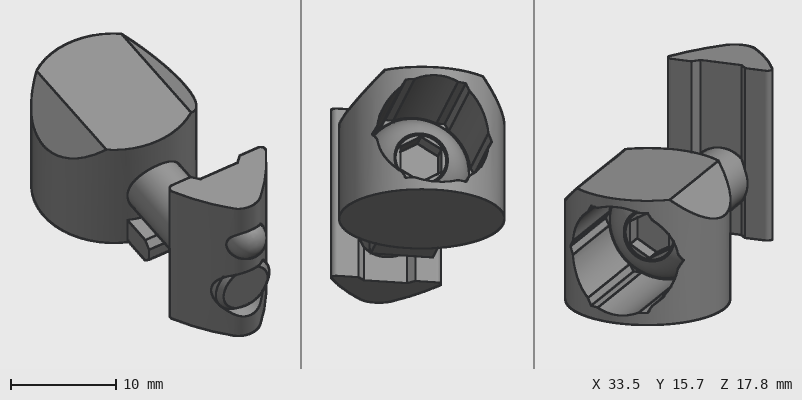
import cadquery as cq
import math

HOUSING_RADIUS = 7.855
HOUSING_HEIGHT = 12.45
ROOF_FLAT_HALF_WIDTH = 4.74
ROOF_DROP = HOUSING_RADIUS - ROOF_FLAT_HALF_WIDTH
AXIS_HEIGHT = HOUSING_HEIGHT / 2

BORE_RADIUS = 5.41
BORE_HEX_FLATS = 9.98

TAB_END_X = 11.15
TAB_WIDTH = 6.0
TAB_BOTTOM = 0.25
TAB_HEIGHT = 2.75
TAB_CHAMFER = 0.7

SHANK_RADIUS = 2.997
BOLT_TIP_X = 23.65
SHANK_LENGTH = 20.0
TIP_CHAMFER = 0.55
HEAD_RADIUS = 5.2
HEAD_HEIGHT = 3.3
HEAD_RIM = 0.3
SOCKET_FLATS = 4.0
SOCKET_DEPTH = 2
MOUTH_RADIUS = 2.58
MOUTH_FLOOR_RADIUS = 2.45
MOUTH_DEPTH = 0.15
SEAT_X = BOLT_TIP_X - SHANK_LENGTH
HEAD_TOP_X = SEAT_X - HEAD_HEIGHT

CLAMP_BACK_X = 18.15
CLAMP_BOTTOM = 0.75
CLAMP_HEIGHT = 17.0
CLAMP_DEPTH = 6.35
CLAMP_HALF_WIDTH = 5.63
CORNER_RADIUS = 0.5
FLANK_MID_DEPTH = 3.48
FLANK_MID_HALF_WIDTH = 3.48
NOSE_START_DEPTH = 5.8
NOSE_HALF_WIDTH = 1.47
GROOVE_HALF_WIDTH = 2.75
GROOVE_FLOOR_HALF_WIDTH = 2.08
GROOVE_DEPTH = 0.7

BALL_RADIUS = 2.0
BALL_X = 23.627
BALL_Z = 12.75


def bolt_axis_plane(x):
    """Plane across the bolt axis: local x is +Y, local y is +Z, normal is +X."""
    return cq.Workplane("YZ", origin=(x, 0, AXIS_HEIGHT))


def hex_diameter(across_flats):
    return across_flats / math.cos(math.pi / 6)


def make_ball():
    return cq.Workplane("XY").sphere(BALL_RADIUS).translate((BALL_X, 0, BALL_Z))


def make_housing():
    slope_height = HOUSING_HEIGHT - ROOF_DROP
    roof_outline = [
        (-HOUSING_RADIUS, 0),
        (HOUSING_RADIUS, 0),
        (HOUSING_RADIUS, slope_height),
        (ROOF_FLAT_HALF_WIDTH, HOUSING_HEIGHT),
        (-ROOF_FLAT_HALF_WIDTH, HOUSING_HEIGHT),
        (-HOUSING_RADIUS, slope_height),
    ]
    roof = cq.Workplane("YZ").polyline(roof_outline).close().extrude(HOUSING_RADIUS, both=True)
    body = cq.Workplane("XY").circle(HOUSING_RADIUS).extrude(HOUSING_HEIGHT).intersect(roof)

    tab = (
        cq.Workplane("XY", origin=(SEAT_X, 0, TAB_BOTTOM))
        .box(TAB_END_X - SEAT_X, TAB_WIDTH, TAB_HEIGHT, centered=(False, True, False))
        .faces(">X")
        .edges("|Y")
        .chamfer(TAB_CHAMFER)
    )

    bore_length = SEAT_X + HOUSING_RADIUS
    round_bore = bolt_axis_plane(-HOUSING_RADIUS).circle(BORE_RADIUS).extrude(bore_length)
    hex_bore = (
        bolt_axis_plane(-HOUSING_RADIUS)
        .polygon(6, hex_diameter(BORE_HEX_FLATS))
        .extrude(bore_length)
    )
    shank_hole = bolt_axis_plane(0).circle(SHANK_RADIUS).extrude(HOUSING_RADIUS)
    return body.union(tab).cut(round_bore).cut(hex_bore).cut(shank_hole)


def make_bolt():
    shank = (
        bolt_axis_plane(SEAT_X)
        .circle(SHANK_RADIUS)
        .extrude(SHANK_LENGTH)
        .faces(">X")
        .chamfer(TIP_CHAMFER)
    )

    rim_x = SEAT_X - HEAD_RIM
    dome_height = HEAD_HEIGHT - HEAD_RIM
    dome_offset = (HEAD_RADIUS**2 - MOUTH_RADIUS**2 - dome_height**2) / (2 * dome_height)
    dome_radius = math.hypot(HEAD_RADIUS, dome_offset)
    mid_angle = (
        math.atan2(HEAD_RADIUS, dome_offset) + math.atan2(MOUTH_RADIUS, dome_offset + dome_height)
    ) / 2
    dome_mid = (
        rim_x + dome_offset - dome_radius * math.cos(mid_angle),
        dome_radius * math.sin(mid_angle),
    )
    head = (
        cq.Workplane("XZ", origin=(0, 0, AXIS_HEIGHT))
        .moveTo(SEAT_X, 0)
        .lineTo(SEAT_X, HEAD_RADIUS)
        .lineTo(rim_x, HEAD_RADIUS)
        .threePointArc(dome_mid, (HEAD_TOP_X, MOUTH_RADIUS))
        .lineTo(HEAD_TOP_X + MOUTH_DEPTH, MOUTH_FLOOR_RADIUS)
        .lineTo(HEAD_TOP_X + MOUTH_DEPTH, 0)
        .close()
        .revolve(360, (0, 0, 0), (1, 0, 0))
    )
    socket = (
        bolt_axis_plane(HEAD_TOP_X)
        .transformed(rotate=(0, 0, 90))
        .polygon(6, hex_diameter(SOCKET_FLATS))
        .extrude(SOCKET_DEPTH)
    )
    return shank.union(head).cut(socket)


def make_clamp_nut():
    bar = (
        cq.Workplane("XY", origin=(CLAMP_BACK_X, 0, CLAMP_BOTTOM))
        .moveTo(0, -CLAMP_HALF_WIDTH)
        .threePointArc((FLANK_MID_DEPTH, -FLANK_MID_HALF_WIDTH), (NOSE_START_DEPTH, -NOSE_HALF_WIDTH))
        .threePointArc((CLAMP_DEPTH, 0), (NOSE_START_DEPTH, NOSE_HALF_WIDTH))
        .threePointArc((FLANK_MID_DEPTH, FLANK_MID_HALF_WIDTH), (0, CLAMP_HALF_WIDTH))
        .close()
        .extrude(CLAMP_HEIGHT)
        .edges("|Z and <X")
        .fillet(CORNER_RADIUS)
    )
    groove_outline = [
        (0, -GROOVE_HALF_WIDTH),
        (GROOVE_DEPTH, -GROOVE_FLOOR_HALF_WIDTH),
        (GROOVE_DEPTH, GROOVE_FLOOR_HALF_WIDTH),
        (0, GROOVE_HALF_WIDTH),
    ]
    groove = (
        cq.Workplane("XY", origin=(CLAMP_BACK_X, 0, CLAMP_BOTTOM))
        .polyline(groove_outline)
        .close()
        .extrude(CLAMP_HEIGHT)
    )
    shank_hole = bolt_axis_plane(CLAMP_BACK_X).circle(SHANK_RADIUS).extrude(CLAMP_DEPTH)
    return bar.cut(groove).cut(shank_hole).cut(make_ball())


housing = make_housing()
bolt = make_bolt()
clamp_nut = make_clamp_nut()
ball = make_ball()

bodies = [housing, bolt, clamp_nut, ball]
result = cq.Compound.makeCompound([body.solids().val() for body in bodies])